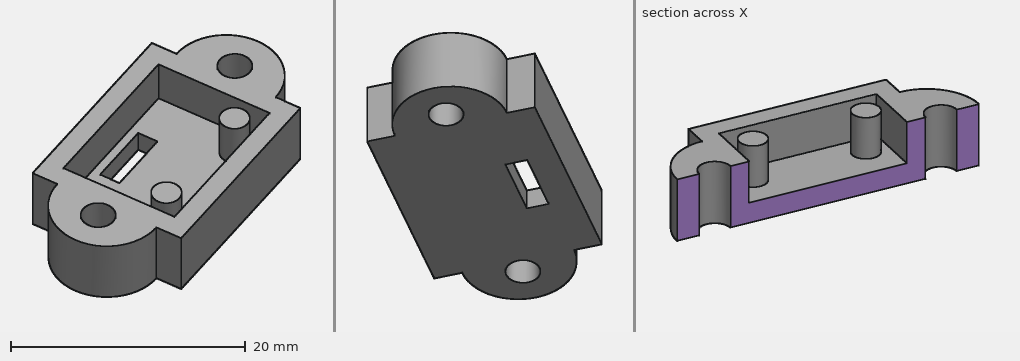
import cadquery as cq

body_width = 15.0
body_length = 19.0
height = 6.0
overall_length = 29.0

ear_radius = (overall_length - body_length) / 2
ear_hole_diameter = 3.0
ear_hole_y = 10.88

pocket_width = 11.2
pocket_length = 15.15
floor_thickness = 2.0
pocket_depth = height - floor_thickness

pin_diameter = 2.6
pin_height = pocket_depth
pin_x = 3.42
pin_y = 5.42

slot_width = 1.95
slot_length = 6.05
slot_x = -3.8


def make_block():
    """Rectangular body with a round ear on each end."""
    block = cq.Workplane("XY").rect(body_width, body_length).extrude(height)
    ears = (
        cq.Workplane("XY")
        .pushPoints([(0, -body_length / 2), (0, body_length / 2)])
        .circle(ear_radius)
        .extrude(height)
    )
    return block.union(ears)


def make_pocket():
    """Volume removed above the pocket floor."""
    floor = cq.Workplane("XY").workplane(offset=floor_thickness)
    return floor.rect(pocket_width, pocket_length).extrude(pocket_depth)


def make_pins():
    """Pins rooted at the underside so that they fuse with the floor."""
    return (
        cq.Workplane("XY")
        .pushPoints([(pin_x, -pin_y), (pin_x, pin_y)])
        .circle(pin_diameter / 2)
        .extrude(floor_thickness + pin_height)
    )


def make_ear_holes():
    """Through holes in the ears."""
    return (
        cq.Workplane("XY")
        .pushPoints([(0, -ear_hole_y), (0, ear_hole_y)])
        .circle(ear_hole_diameter / 2)
        .extrude(height)
    )


def make_slot():
    """Rectangular opening through the floor."""
    return cq.Workplane("XY").center(slot_x, 0).rect(slot_width, slot_length).extrude(height)


result = (
    make_block()
    .cut(make_pocket())
    .union(make_pins())
    .cut(make_ear_holes())
    .cut(make_slot())
)